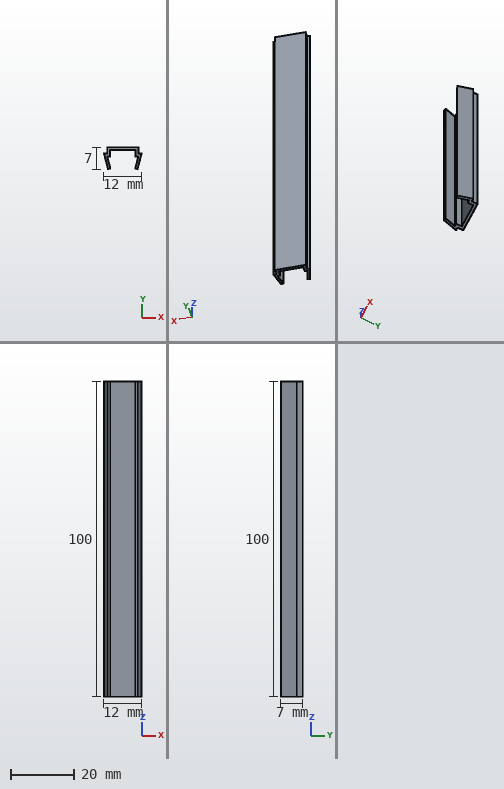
import cadquery as cq

length = 100.0
overall_width = 12.0
overall_depth = 7.0

channel_width = 10.0
wall = 1.0

ledge_top = 2.0
ledge_bottom = 3.0
leg_inner_root = 4.9
leg_outer_tip = 4.7
leg_inner_tip = 3.9
leg_tip_rise = 0.2

half_width = overall_width / 2
half_channel = channel_width / 2
half_opening = half_channel - wall
back_y = overall_depth / 2
web_inner_y = back_y - wall
ledge_top_y = back_y - ledge_top
ledge_bottom_y = back_y - ledge_bottom
tip_y = -overall_depth / 2

right_half = [
    (half_channel, back_y),
    (half_channel, ledge_top_y),
    (half_width, ledge_top_y),
    (leg_outer_tip, tip_y),
    (leg_inner_tip, tip_y + leg_tip_rise),
    (leg_inner_root, ledge_bottom_y),
    (half_opening, ledge_bottom_y),
    (half_opening, web_inner_y),
]
left_half = [(-x, y) for x, y in reversed(right_half)]

result = (
    cq.Workplane("XY")
    .workplane(offset=-length / 2)
    .polyline(right_half + left_half)
    .close()
    .extrude(length)
)